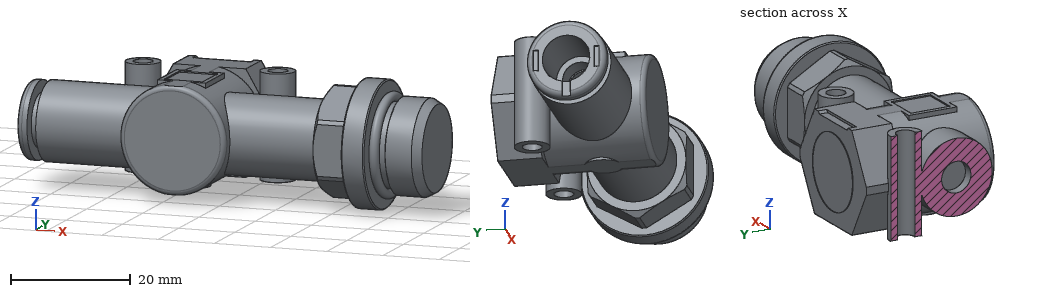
import cadquery as cq
import math


TUBE_DIAMETER = 13.8
TUBE_START = 3.5
TUBE_END = 53.35

BARREL_X = 28.6
BARREL_DIAMETER = 18.8
BARREL_FRONT = -9.2
BARREL_FILLET = 0.9
HALF_HEIGHT = 9.3

PLATE_WIDTH = 8.55
PLATE_LENGTH = 9.2
PLATE_THICKNESS = 1.45
PLATE_BORDER = 0.9
PLATE_RECESS = 0.2
BOTTOM_PAD_DIAMETER = 6.65

BLOCK_FRONT = 9.1
BLOCK_BACK = 16.7
BLOCK_FLAT_WIDTH = 12.9
BLOCK_WIDTH = 22.9
BLOCK_SIDE_HEIGHT = 1.45
BACK_DISC_DIAMETER = 13.8
BACK_DISC_THICKNESS = 0.15
NOTCH_WIDTH = 10.3
NOTCH_LENGTH = 1.6
NOTCH_DEPTH = 0.4

EYELET_DIAMETER = 6.0
EYELET_HOLE = 3.3
EYELET_SPACING = 24.0
EYELET_Y = 9.55

BORE_DIAMETER = 6.0
BORE_END = 14.5
STOP_DIAMETER = 5.5
STOP_END = 18.1

COLLET_FLANGE_DIAMETER = 13.6
COLLET_FLANGE_LENGTH = 1.9
COLLET_FILLET = 0.95
COLLET_NECK_DIAMETER = 9.4
COLLET_BORE = 8.1
COLLET_END = 10.7
GROOVE_WIDTH = 1.45
GROOVE_OUTER_RADIUS = 6.65
POCKET_OFFSET = 5.2
POCKET_WIDTH = 0.9
POCKET_HEIGHT = 3.6
FACE_MARK_DEPTH = 0.35

HEX_ACROSS_FLATS = 16.95
HEX_CORNER_RADIUS = 9.55
HEX_CHAMFER_LENGTH = 0.7
FLANGE_START = 59.2
FLANGE_END = 63.3
FLANGE_DIAMETER = 22.0
FLANGE_CHAMFER = 0.2
NECK_DIAMETER = 14.6
THREAD_START = 66.2
THREAD_RELIEF_LENGTH = 0.4
THREAD_DIAMETER = 16.7
THREAD_END_DIAMETER = 15.0
THREAD_CHAMFER_LENGTH = 1.6
STUD_END = 72.4

RING_SECTION_RADIUS = 0.9


def rod_x(diameter, start, end):
    """Cylinder on the main axis between two X positions."""
    return cq.Workplane("YZ").workplane(offset=start).circle(diameter / 2).extrude(end - start)


def rod_y(diameter, start, end):
    """Cylinder along Y on the barrel axis."""
    return cq.Workplane("XZ", origin=(BARREL_X, start, 0)).circle(diameter / 2).extrude(start - end)


def box(x_size, y_size, z_size, center):
    return cq.Workplane("XY").box(x_size, y_size, z_size).translate(center)


def make_barrel():
    barrel = rod_y(BARREL_DIAMETER, BARREL_FRONT, BLOCK_FRONT)
    barrel = barrel.faces("<Y").edges().fillet(BARREL_FILLET)
    y_length = BLOCK_FRONT - BARREL_FRONT
    y_middle = (BLOCK_FRONT + BARREL_FRONT) / 2
    between_flats = box(BARREL_DIAMETER, y_length, 2 * HALF_HEIGHT, (BARREL_X, y_middle, 0))
    return barrel.intersect(between_flats)


def make_label_plate():
    plate_z = HALF_HEIGHT - PLATE_THICKNESS / 2
    return box(PLATE_WIDTH, PLATE_LENGTH, PLATE_THICKNESS, (BARREL_X, 0, plate_z))


def make_label_recess():
    recess_z = HALF_HEIGHT - PLATE_RECESS / 2
    recess_width = PLATE_WIDTH - 2 * PLATE_BORDER
    recess_length = PLATE_LENGTH - 2 * PLATE_BORDER
    return box(recess_width, recess_length, PLATE_RECESS, (BARREL_X, 0, recess_z))


def make_bottom_pad():
    pad = cq.Workplane("XY", origin=(BARREL_X, 0, -HALF_HEIGHT))
    return pad.circle(BOTTOM_PAD_DIAMETER / 2).extrude(PLATE_THICKNESS)


def make_block():
    flat = BLOCK_FLAT_WIDTH / 2
    side = BLOCK_WIDTH / 2
    side_z = BLOCK_SIDE_HEIGHT / 2
    outline = [
        (-flat, HALF_HEIGHT),
        (flat, HALF_HEIGHT),
        (side, side_z),
        (side, -side_z),
        (flat, -HALF_HEIGHT),
        (-flat, -HALF_HEIGHT),
        (-side, -side_z),
        (-side, side_z),
    ]
    block = cq.Workplane("XZ", origin=(BARREL_X, BLOCK_FRONT, 0)).polyline(outline).close()
    block = block.extrude(BLOCK_FRONT - BLOCK_BACK)
    return block.union(rod_y(BACK_DISC_DIAMETER, BLOCK_BACK, BLOCK_BACK + BACK_DISC_THICKNESS))


def make_block_notch():
    """Shallow notch in the top of the block, open to the back, with sloped ends."""
    top = NOTCH_WIDTH / 2
    floor = top - NOTCH_DEPTH
    floor_z = HALF_HEIGHT - NOTCH_DEPTH
    outline = [(-top, HALF_HEIGHT), (top, HALF_HEIGHT), (floor, floor_z), (-floor, floor_z)]
    notch = cq.Workplane("XZ", origin=(BARREL_X, BLOCK_BACK, 0)).polyline(outline).close()
    return notch.extrude(NOTCH_LENGTH)


def eyelet_cylinders(diameter):
    """One upright cylinder at each of the two eyelets."""
    half_spacing = EYELET_SPACING / 2
    spots = [(BARREL_X - half_spacing, EYELET_Y), (BARREL_X + half_spacing, EYELET_Y)]
    plane = cq.Workplane("XY", origin=(0, 0, -HALF_HEIGHT))
    return plane.pushPoints(spots).circle(diameter / 2).extrude(2 * HALF_HEIGHT)


def make_housing():
    housing = rod_x(TUBE_DIAMETER, TUBE_START, TUBE_END)
    for feature in (
        make_barrel(),
        make_label_plate(),
        make_bottom_pad(),
        make_block(),
        eyelet_cylinders(EYELET_DIAMETER),
    ):
        housing = housing.union(feature)
    for void in (
        make_label_recess(),
        make_block_notch(),
        eyelet_cylinders(EYELET_HOLE),
        rod_x(COLLET_NECK_DIAMETER, TUBE_START, COLLET_END),
        rod_x(BORE_DIAMETER, COLLET_END, BORE_END),
        rod_x(STOP_DIAMETER, BORE_END, STOP_END),
    ):
        housing = housing.cut(void)
    return housing


def make_collet():
    """Release collet: a flanged sleeve with a groove and two pockets in its end face."""
    collet = rod_x(COLLET_FLANGE_DIAMETER, 0, COLLET_FLANGE_LENGTH)
    collet = collet.faces("<X").edges().fillet(COLLET_FILLET)
    collet = collet.union(rod_x(COLLET_NECK_DIAMETER, COLLET_FLANGE_LENGTH, COLLET_END))
    collet = collet.cut(rod_x(COLLET_BORE, 0, COLLET_END))
    mark_x = FACE_MARK_DEPTH / 2
    groove_z = -GROOVE_OUTER_RADIUS / 2
    collet = collet.cut(box(FACE_MARK_DEPTH, GROOVE_WIDTH, GROOVE_OUTER_RADIUS, (mark_x, 0, groove_z)))
    for pocket_y in (-POCKET_OFFSET, POCKET_OFFSET):
        collet = collet.cut(box(FACE_MARK_DEPTH, POCKET_WIDTH, POCKET_HEIGHT, (mark_x, pocket_y, 0)))
    return collet


def make_hex():
    """Hexagon with two flats facing Y, rounded corners and a chamfered free end."""
    across_corners = HEX_ACROSS_FLATS / math.cos(math.pi / 6)
    hexagon = cq.Workplane("YZ", origin=(TUBE_END, 0, 0)).transformed(rotate=(0, 0, 30))
    hexagon = hexagon.polygon(6, across_corners).extrude(FLANGE_START - TUBE_END)
    envelope = (
        cq.Workplane("XY")
        .moveTo(TUBE_END, 0)
        .lineTo(TUBE_END, HEX_ACROSS_FLATS / 2)
        .lineTo(TUBE_END + HEX_CHAMFER_LENGTH, HEX_CORNER_RADIUS)
        .lineTo(FLANGE_START, HEX_CORNER_RADIUS)
        .lineTo(FLANGE_START, 0)
        .close()
        .revolve(360, (0, 0, 0), (1, 0, 0))
    )
    return hexagon.intersect(envelope)


def make_thread():
    """Plain thread cylinder with a relief cone towards the neck and a cone at its end."""
    return (
        cq.Workplane("XY")
        .moveTo(THREAD_START - THREAD_RELIEF_LENGTH, 0)
        .lineTo(THREAD_START - THREAD_RELIEF_LENGTH, NECK_DIAMETER / 2)
        .lineTo(THREAD_START, THREAD_DIAMETER / 2)
        .lineTo(STUD_END - THREAD_CHAMFER_LENGTH, THREAD_DIAMETER / 2)
        .lineTo(STUD_END, THREAD_END_DIAMETER / 2)
        .lineTo(STUD_END, 0)
        .close()
        .revolve(360, (0, 0, 0), (1, 0, 0))
    )


def make_stud():
    flange = rod_x(FLANGE_DIAMETER, FLANGE_START, FLANGE_END).edges().chamfer(FLANGE_CHAMFER)
    neck = rod_x(NECK_DIAMETER, FLANGE_END, THREAD_START)
    return make_hex().union(flange).union(neck).union(make_thread())


def make_o_ring():
    ring_x = FLANGE_END + RING_SECTION_RADIUS
    ring_y = NECK_DIAMETER / 2 + RING_SECTION_RADIUS
    section_plane = cq.Plane(origin=(ring_x, ring_y, 0), xDir=(0, -1, 0), normal=(0, 0, 1))
    section = cq.Workplane(section_plane).circle(RING_SECTION_RADIUS)
    return section.revolve(360, (ring_y, 0, 0), (ring_y, 1, 0))


housing = make_housing()
collet = make_collet()
stud = make_stud()
o_ring = make_o_ring()

result = cq.Compound.makeCompound([housing.val(), collet.val(), stud.val(), o_ring.val()])